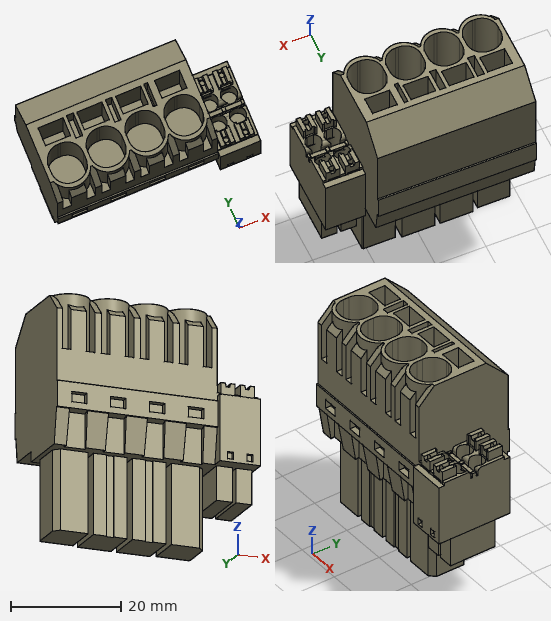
import cadquery as cq


LENGTH = 31.45
HEIGHT = 44.7
DEPTH = 20.0
UNDERSIDE_Z = 15.55
FRONT_CHAMFER = 3.45
REAR_CHAMFER = 4.95
BAND_OUT = 0.3
BAND_LOW_Z = 22.3
BAND_TOP_Z = 27.3
FRONT_TAPER_TOP_Y = 0.15
FRONT_TAPER_LOW_Y = 1.25
REAR_TAPER_TOP_Y = 19.85
REAR_TAPER_LOW_Y = 19.2
REAR_STEP_Y = 12.43
REAR_STEP_Z = 17.52

POLE_COUNT = 4
FIRST_POLE_X = 4.3
POLE_PITCH = (LENGTH - 2 * FIRST_POLE_X) / (POLE_COUNT - 1)
POLE_XS = [FIRST_POLE_X + i * POLE_PITCH for i in range(POLE_COUNT)]

BARREL_RADIUS = 4.0
BARREL_Y = 5.0
BARREL_LOW_Z = 33.6
SLOT_INNER_X = 1.5
SLOT_OUTER_X = 3.17
BORE_WIDTH = 6.8
BORE_LENGTH = 7.55
BORE_CORNER = 3.15
BORE_FRONT_Y = 1.9
BORE_Y = BORE_FRONT_Y + BORE_LENGTH / 2
BORE_DEPTH = 13.4

TOP_WINDOW_WIDTH = 4.9
TOP_WINDOW_LENGTH = 3.55
TOP_WINDOW_Y = 11.9
TOP_WINDOW_DEPTH = 13.4
KEY_SLOTS = [(8.15, 1.35), (15.75, 1.2), (23.0, 0.7)]
KEY_SLOT_LENGTH = 4.45
KEY_SLOT_Y = 11.55
KEY_SLOT_DEPTH = 6.7
FRONT_WINDOW_WIDTH = 3.0
FRONT_WINDOW_HEIGHT = 1.95
FRONT_WINDOW_Z = 24.5
FRONT_WINDOW_DEPTH = 1.25
RECESS_FRONT_HALF_WIDTH = 1.75
RECESS_BACK_HALF_WIDTH = 2.05
RECESS_BACK_Y = 2.1

PRONG_WIDTH = 6.55
PRONG_FRONT_Y = 3.55
INNER_PRONG_BACK_Y = 11.4
END_PRONG_BACK_Y = 10.95
END_PRONG_FRONT_CHAMFER = 1.1
END_PRONG_BACK_CHAMFER = 0.22
PRONG_GROOVE_WIDTH = 1.45
PRONG_GROOVE_DEPTH = 0.3

SIGNAL_LENGTH = 7.95
SIGNAL_FRONT_Y = -1.25
SIGNAL_MID_Y = 6.7
SIGNAL_WALL = 1.25
SIGNAL_WALL_TOP_Z = 28.35
SIGNAL_CORE_TOP_Z = 28.95
SIGNAL_MID_X = LENGTH + SIGNAL_LENGTH / 2
SIGNAL_PITCH = POLE_PITCH / 2
SIGNAL_XS = [SIGNAL_MID_X - SIGNAL_PITCH / 2, SIGNAL_MID_X + SIGNAL_PITCH / 2]
SIGNAL_DEPTH = 2 * (SIGNAL_MID_Y - SIGNAL_FRONT_Y)
CORE_DEPTH = SIGNAL_DEPTH - 2 * SIGNAL_WALL

WIRE_HOLE_RADIUS = 1.55
WIRE_HOLE_OFFSET_Y = 2.1
WIRE_HOLE_DEPTH = 6.7
TROUGH_HALF_WIDTH = 0.8
TROUGH_DEPTH = 1.55
TROUGH_EDGE_ROUND = 0.8
RIB_WIDTH = 0.85
RIB_DROP = 0.65
RIB_DIP_DEPTH = 0.25
TEST_HOLE_WIDTH = 1.15
TEST_HOLE_HEIGHT = 1.35
TEST_HOLE_Z = 16.8
TEST_HOLE_DEPTH = 0.65
SIGNAL_PRONG_WIDTH = 3.1
SIGNAL_PRONG_DEPTH = 9.95
SIGNAL_PRONG_LOW_Z = 8.95

BUTTON_WIDTH = 2.75
BUTTON_DEPTH = 3.17
BUTTON_LOW_Z = 25.93
BUTTON_TOP_Z = 31.0
NOTCH_TOP_WIDTH = 1.07
NOTCH_FLOOR_WIDTH = 0.63
NOTCH_DEPTH = 0.7
DIMPLE_RADIUS = 0.55
DIMPLE_DEPTH = 1.1
DIMPLE_FROM_WALL = 1.05
LEDGE_WIDTH = 1.88
LEDGE_DEPTH = 0.335
RELIEF_WIDTH = 2.3
RELIEF_TOP_Z = 28.65
RELIEF_DEPTH = 0.1


def block(x_min, x_max, y_min, y_max, z_min, z_max):
    """Box between two corners."""
    size = (x_max - x_min, y_max - y_min, z_max - z_min)
    return cq.Workplane("XY").box(*size, centered=False).translate((x_min, y_min, z_min))


def plan_prism(points, z_min, z_max):
    """Upright prism over a polygon in X and Y."""
    return cq.Workplane("XY").workplane(offset=z_min).polyline(points).close().extrude(z_max - z_min)


def main_block():
    """Side outline with sloped top edges, a raised band and a tapered foot, run along X."""
    outline = [
        (FRONT_CHAMFER, HEIGHT),
        (DEPTH - REAR_CHAMFER, HEIGHT),
        (DEPTH, HEIGHT - REAR_CHAMFER),
        (DEPTH, BAND_TOP_Z),
        (DEPTH + BAND_OUT, BAND_TOP_Z),
        (DEPTH + BAND_OUT, BAND_LOW_Z),
        (REAR_TAPER_TOP_Y, BAND_LOW_Z),
        (REAR_TAPER_LOW_Y, REAR_STEP_Z),
        (REAR_STEP_Y, REAR_STEP_Z),
        (REAR_STEP_Y, UNDERSIDE_Z),
        (FRONT_TAPER_LOW_Y, UNDERSIDE_Z),
        (FRONT_TAPER_TOP_Y, BAND_LOW_Z),
        (-BAND_OUT, BAND_LOW_Z),
        (-BAND_OUT, BAND_TOP_Z),
        (0, BAND_TOP_Z),
        (0, HEIGHT - FRONT_CHAMFER),
    ]
    return cq.Workplane("YZ").polyline(outline).close().extrude(LENGTH)


def add_wire_funnel(body, x):
    """Round barrel standing free behind two front slots, with a rounded bore down its middle."""
    for x_min, x_max in ((-SLOT_OUTER_X, -SLOT_INNER_X), (SLOT_INNER_X, SLOT_OUTER_X)):
        body = body.cut(block(x + x_min, x + x_max, -BAND_OUT, BARREL_Y, BARREL_LOW_Z, HEIGHT))
    barrel = (
        cq.Workplane("XY")
        .workplane(offset=BARREL_LOW_Z)
        .center(x, BARREL_Y)
        .circle(BARREL_RADIUS)
        .extrude(HEIGHT - BARREL_LOW_Z)
    )
    bore = (
        cq.Workplane("XY")
        .workplane(offset=HEIGHT - BORE_DEPTH)
        .center(x, BORE_Y)
        .rect(BORE_WIDTH, BORE_LENGTH)
        .extrude(BORE_DEPTH)
        .edges("|Z")
        .fillet(BORE_CORNER)
    )
    return body.union(barrel).cut(bore)


def top_pocket(x, y, width, length, depth):
    """Rectangular pocket cutter sunk from the top face."""
    return block(x - width / 2, x + width / 2, y - length / 2, y + length / 2, HEIGHT - depth, HEIGHT)


def front_window(x):
    """Shallow window cutter in the raised front band."""
    half_width = FRONT_WINDOW_WIDTH / 2
    half_height = FRONT_WINDOW_HEIGHT / 2
    return block(
        x - half_width, x + half_width,
        -BAND_OUT, FRONT_WINDOW_DEPTH - BAND_OUT,
        FRONT_WINDOW_Z - half_height, FRONT_WINDOW_Z + half_height,
    )


def foot_recess(x):
    """Upright-backed recess cutter in the tapered foot, widening towards its back."""
    corners = [
        (x - RECESS_FRONT_HALF_WIDTH, FRONT_TAPER_TOP_Y),
        (x + RECESS_FRONT_HALF_WIDTH, FRONT_TAPER_TOP_Y),
        (x + RECESS_BACK_HALF_WIDTH, RECESS_BACK_Y),
        (x - RECESS_BACK_HALF_WIDTH, RECESS_BACK_Y),
    ]
    return plan_prism(corners, UNDERSIDE_Z, BAND_LOW_Z)


def inner_prong(x):
    """Prong with a shallow groove down the middle of its front."""
    half_width = PRONG_WIDTH / 2
    half_groove = PRONG_GROOVE_WIDTH / 2
    prong = block(x - half_width, x + half_width, PRONG_FRONT_Y, INNER_PRONG_BACK_Y, 0, UNDERSIDE_Z)
    groove_back_y = PRONG_FRONT_Y + PRONG_GROOVE_DEPTH
    return prong.cut(block(x - half_groove, x + half_groove, PRONG_FRONT_Y, groove_back_y, 0, UNDERSIDE_Z))


def end_prong(x, outward):
    """Prong with both outer corners chamfered; outward is -1 or +1 along X."""
    outer_x = x + outward * PRONG_WIDTH / 2
    inner_x = x - outward * PRONG_WIDTH / 2
    corners = [
        (inner_x, PRONG_FRONT_Y),
        (outer_x - outward * END_PRONG_FRONT_CHAMFER, PRONG_FRONT_Y),
        (outer_x, PRONG_FRONT_Y + END_PRONG_FRONT_CHAMFER),
        (outer_x, END_PRONG_BACK_Y - END_PRONG_BACK_CHAMFER),
        (outer_x - outward * END_PRONG_BACK_CHAMFER, END_PRONG_BACK_Y),
        (inner_x, END_PRONG_BACK_Y),
    ]
    return plan_prism(corners, 0, UNDERSIDE_Z)


def signal_trough():
    """Cutter for the trough along the middle of the signal block, leaving a low dipped rib inside."""
    x_end = LENGTH + SIGNAL_LENGTH
    floor_z = SIGNAL_CORE_TOP_Z - TROUGH_DEPTH
    round_z = SIGNAL_CORE_TOP_Z - TROUGH_EDGE_ROUND
    rim = TROUGH_HALF_WIDTH + TROUGH_EDGE_ROUND
    cutter = (
        cq.Workplane("YZ")
        .workplane(offset=LENGTH)
        .moveTo(SIGNAL_MID_Y - TROUGH_HALF_WIDTH, floor_z)
        .lineTo(SIGNAL_MID_Y + TROUGH_HALF_WIDTH, floor_z)
        .lineTo(SIGNAL_MID_Y + TROUGH_HALF_WIDTH, round_z)
        .radiusArc((SIGNAL_MID_Y + rim, SIGNAL_CORE_TOP_Z), TROUGH_EDGE_ROUND)
        .lineTo(SIGNAL_MID_Y - rim, SIGNAL_CORE_TOP_Z)
        .radiusArc((SIGNAL_MID_Y - TROUGH_HALF_WIDTH, round_z), TROUGH_EDGE_ROUND)
        .close()
        .extrude(SIGNAL_LENGTH)
    )
    rib_front_y = SIGNAL_MID_Y - RIB_WIDTH / 2
    rib_back_y = SIGNAL_MID_Y + RIB_WIDTH / 2
    rib_top_z = SIGNAL_CORE_TOP_Z - RIB_DROP
    dip_z = rib_top_z - RIB_DIP_DEPTH
    rib = block(LENGTH, x_end, rib_front_y, rib_back_y, floor_z, rib_top_z)
    for x in SIGNAL_XS:
        x_min = x - WIRE_HOLE_RADIUS
        x_max = x + WIRE_HOLE_RADIUS
        rib = rib.cut(block(x_min, x_max, rib_front_y, rib_back_y, dip_z, rib_top_z))
    return cutter.cut(rib)


def button_seat(x):
    """Pocket cutter that holds a front button."""
    half_width = BUTTON_WIDTH / 2
    return block(x - half_width, x + half_width, 0, BUTTON_DEPTH, BUTTON_LOW_Z, SIGNAL_CORE_TOP_Z)


def mirrored_to_rear(shape):
    """Copy of a front feature reflected in the middle plane of the signal block."""
    return shape.mirror("XZ", (0, SIGNAL_MID_Y, 0))


def signal_block():
    """Two-pole, two-row block: low outer walls, a higher core, wire holes and button seats."""
    x_end = LENGTH + SIGNAL_LENGTH
    back_y = SIGNAL_FRONT_Y + SIGNAL_DEPTH
    body = block(LENGTH, x_end, SIGNAL_FRONT_Y, back_y, UNDERSIDE_Z, SIGNAL_WALL_TOP_Z)
    core_front_y = SIGNAL_FRONT_Y + SIGNAL_WALL
    core_back_y = core_front_y + CORE_DEPTH
    body = body.union(block(LENGTH, x_end, core_front_y, core_back_y, UNDERSIDE_Z, SIGNAL_CORE_TOP_Z))
    body = body.cut(signal_trough())
    for x in SIGNAL_XS:
        wire_hole = (
            cq.Workplane("XY")
            .workplane(offset=SIGNAL_CORE_TOP_Z - WIRE_HOLE_DEPTH)
            .center(x, SIGNAL_MID_Y - WIRE_HOLE_OFFSET_Y)
            .circle(WIRE_HOLE_RADIUS)
            .extrude(WIRE_HOLE_DEPTH)
        )
        for cutter in (wire_hole, button_seat(x)):
            body = body.cut(cutter).cut(mirrored_to_rear(cutter))
        half_hole = TEST_HOLE_WIDTH / 2
        body = body.cut(block(
            x - half_hole, x + half_hole,
            SIGNAL_FRONT_Y, SIGNAL_FRONT_Y + TEST_HOLE_DEPTH,
            TEST_HOLE_Z - TEST_HOLE_HEIGHT / 2, TEST_HOLE_Z + TEST_HOLE_HEIGHT / 2,
        ))
        half_width = SIGNAL_PRONG_WIDTH / 2
        half_depth = SIGNAL_PRONG_DEPTH / 2
        body = body.union(block(
            x - half_width, x + half_width,
            SIGNAL_MID_Y - half_depth, SIGNAL_MID_Y + half_depth,
            SIGNAL_PRONG_LOW_Z, UNDERSIDE_Z,
        ))
    return body


def connector_housing():
    """Main block with its poles and prongs, joined to the signal block."""
    body = main_block()
    for x in POLE_XS:
        body = add_wire_funnel(body, x)
        body = body.cut(top_pocket(x, TOP_WINDOW_Y, TOP_WINDOW_WIDTH, TOP_WINDOW_LENGTH, TOP_WINDOW_DEPTH))
        body = body.cut(front_window(x)).cut(foot_recess(x))
    for x, width in KEY_SLOTS:
        body = body.cut(top_pocket(x, KEY_SLOT_Y, width, KEY_SLOT_LENGTH, KEY_SLOT_DEPTH))
    body = body.union(end_prong(POLE_XS[0], -1)).union(end_prong(POLE_XS[-1], 1))
    for x in POLE_XS[1:-1]:
        body = body.union(inner_prong(x))
    return body.union(signal_block())


def release_button(x):
    """Front button with a screwdriver notch, a dimple, an inner ledge and a relief at its foot."""
    left_x = x - BUTTON_WIDTH / 2
    right_x = x + BUTTON_WIDTH / 2
    button = block(left_x, right_x, 0, BUTTON_DEPTH, BUTTON_LOW_Z, BUTTON_TOP_Z)
    notch_floor_z = BUTTON_TOP_Z - NOTCH_DEPTH
    notch = (
        cq.Workplane("XZ")
        .polyline([
            (x - NOTCH_TOP_WIDTH / 2, BUTTON_TOP_Z),
            (x - NOTCH_FLOOR_WIDTH / 2, notch_floor_z),
            (x + NOTCH_FLOOR_WIDTH / 2, notch_floor_z),
            (x + NOTCH_TOP_WIDTH / 2, BUTTON_TOP_Z),
        ])
        .close()
        .extrude(-BUTTON_DEPTH)
    )
    dimple = (
        cq.Workplane("XY")
        .workplane(offset=notch_floor_z - DIMPLE_DEPTH)
        .center(x, DIMPLE_FROM_WALL)
        .circle(DIMPLE_RADIUS)
        .extrude(NOTCH_DEPTH + DIMPLE_DEPTH)
    )
    half_ledge = LEDGE_WIDTH / 2
    ledge_y = BUTTON_DEPTH - LEDGE_DEPTH
    ledge = block(x - half_ledge, x + half_ledge, ledge_y, BUTTON_DEPTH, SIGNAL_CORE_TOP_Z, BUTTON_TOP_Z)
    relief = block(left_x, left_x + RELIEF_WIDTH, 0, RELIEF_DEPTH, BUTTON_LOW_Z, RELIEF_TOP_Z)
    return button.cut(notch).cut(dimple).cut(ledge).cut(relief)


housing = connector_housing()

buttons = []
for button_x in SIGNAL_XS:
    front_button = release_button(button_x)
    buttons.append(front_button.val())
    buttons.append(mirrored_to_rear(front_button).val())

result = cq.Compound.makeCompound([housing.val(), *buttons])